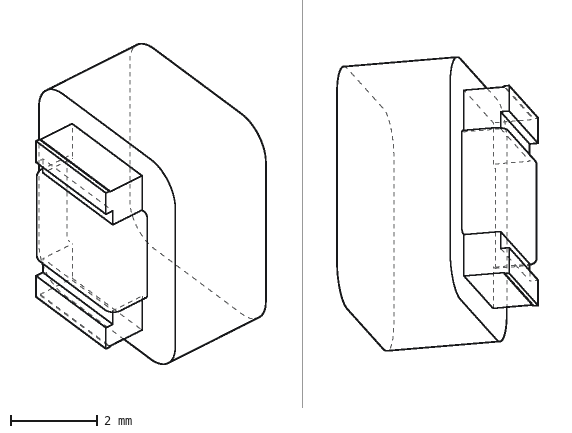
import cadquery as cq

overall_depth = 3.81
body_width = 4.98
body_depth = 2.725
body_height = 5.86
body_corner_radius = 0.89

bar_width = 2.555
bar_projection = overall_depth - body_depth
bar_height = 4.525
lip_thickness = 0.12
lip_overhang = 0.025
foot_height = 0.62
recess_depth = 0.205

block_width = 2.93
block_projection = 1.065
block_height = 2.51
block_corner_radius = 0.295
block_edge_radius = 0.11


def front_box(width, height, y_start, y_end):
    """Box centred on X and Z, spanning y_start to y_end."""
    depth = y_end - y_start
    return cq.Workplane("XY").box(width, depth, height).translate((0, (y_start + y_end) / 2, 0))


def make_body():
    body = front_box(body_width, body_height, 0, body_depth)
    return body.edges("|Y").fillet(body_corner_radius)


def make_terminal_bar():
    lip_height = bar_height + 2 * lip_overhang
    recess_height = lip_height - 2 * foot_height
    bar = front_box(bar_width, bar_height, -bar_projection, 0)
    lips = front_box(bar_width, lip_height, -bar_projection, lip_thickness - bar_projection)
    recess = front_box(bar_width, recess_height, -bar_projection, recess_depth - bar_projection)
    return bar.union(lips).cut(recess)


def make_block():
    block = front_box(block_width, block_height, -block_projection, 0)
    block = block.edges("|Z and <Y").fillet(block_corner_radius)
    rims = block.faces("<Z or >Z").edges("not >Y")
    return rims.fillet(block_edge_radius)


result = make_body().union(make_terminal_bar()).union(make_block())